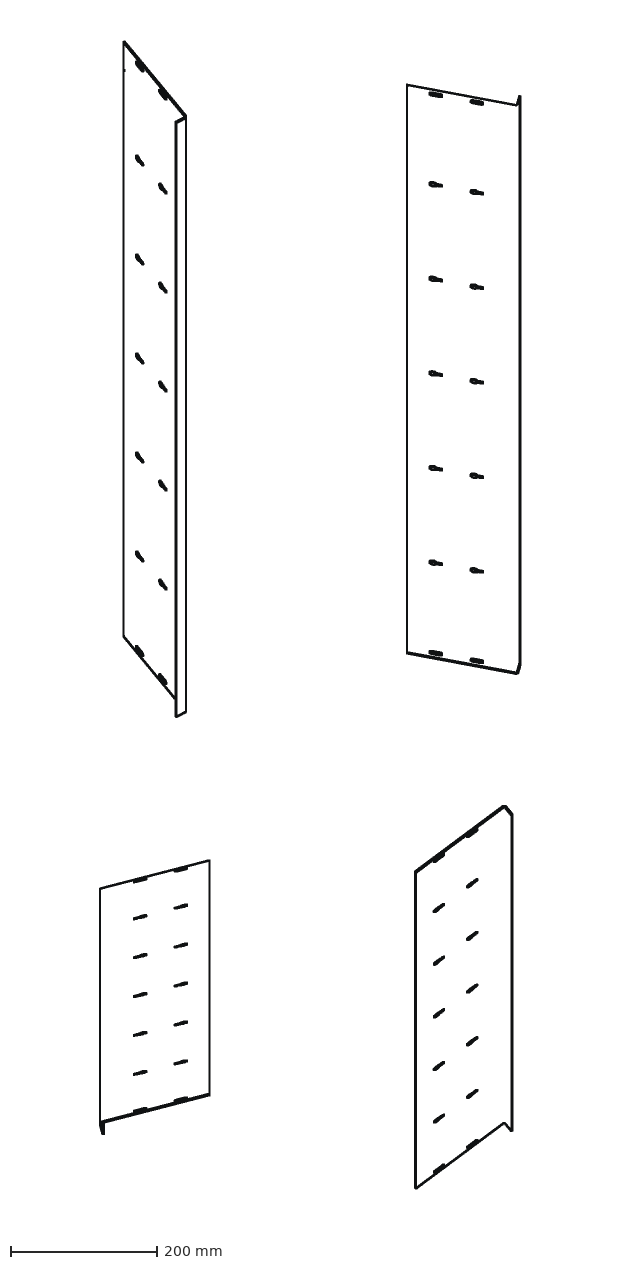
import cadquery as cq

width = 156.0
depth = 17.0
length = 1344.0
thickness = 2.0
inner_bend_radius = 1.0
outer_bend_radius = inner_bend_radius + thickness

opening_length = 17.0
opening_centers = (40.0, 98.0)
end_slot_height = 7.0
keyhole_diameter = 10.0
keyhole_slot_height = 4.0

bay_count = 6
end_row_inset = 11.0


def bent_sheet():
    """Wide leg along X, with a short flange bent toward -Y at its +X edge."""
    outline = [
        (0, 0),
        (width, 0),
        (width, -depth),
        (width - thickness, -depth),
        (width - thickness, -thickness),
        (0, -thickness),
    ]
    sheet = cq.Workplane("XY").polyline(outline).close().extrude(length)
    inner_corner = cq.selectors.NearestToPointSelector((width - thickness, -thickness, length / 2))
    outer_corner = cq.selectors.NearestToPointSelector((width, 0, length / 2))
    sheet = sheet.edges("|Z").edges(inner_corner).fillet(inner_bend_radius)
    return sheet.edges("|Z").edges(outer_corner).fillet(outer_bend_radius)


def end_slots():
    """Round-ended slots, a pair near each end of the sheet."""
    rows = (end_row_inset, length - end_row_inset)
    return (
        cq.Workplane("XZ")
        .pushPoints([(x, z) for x in opening_centers for z in rows])
        .slot2D(opening_length, end_slot_height)
        .extrude(thickness)
    )


def keyholes():
    """Round holes, each with a narrow round-ended slot running toward +X."""
    bay = length / bay_count
    centers = [(x, bay * i) for x in opening_centers for i in range(1, bay_count)]
    hole_offset = (keyhole_diameter - opening_length) / 2
    holes = (
        cq.Workplane("XZ")
        .pushPoints([(x + hole_offset, z) for x, z in centers])
        .circle(keyhole_diameter / 2)
        .extrude(thickness)
    )
    slot_length = opening_length - keyhole_diameter / 2 + keyhole_slot_height / 2
    slot_offset = (opening_length - slot_length) / 2
    slots = (
        cq.Workplane("XZ")
        .pushPoints([(x + slot_offset, z) for x, z in centers])
        .slot2D(slot_length, keyhole_slot_height)
        .extrude(thickness)
    )
    return holes.union(slots)


result = bent_sheet().cut(end_slots()).cut(keyholes())